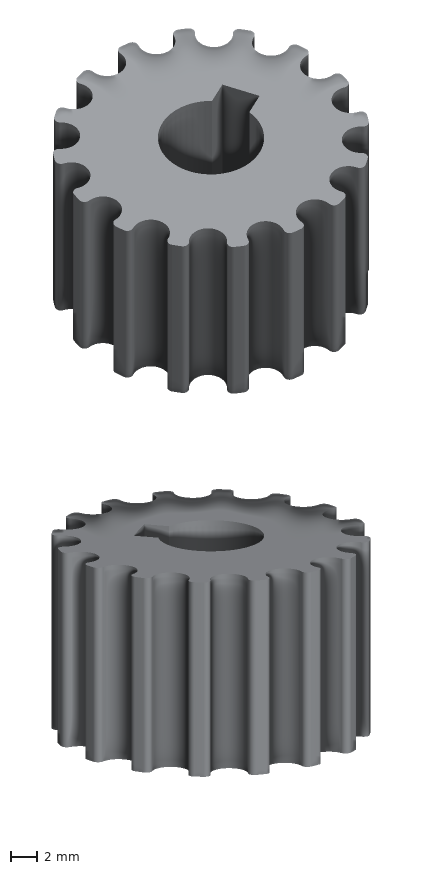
import cadquery as cq
import math

TOOTH_COUNT = 16
BELT_PITCH = 5.0
PITCH_LINE_OFFSET = 0.57
WIDTH = 15.5

GROOVE_DIAMETER = 2.9
GROOVE_ROOT_RADIUS = 9.98
TIP_FILLET = 0.47

BORE_DIAMETER = 8.1
KEYWAY_WIDTH = 3.1
KEYWAY_TOP = 5.7

pitch_radius = TOOTH_COUNT * BELT_PITCH / (2 * math.pi)
outer_radius = pitch_radius - PITCH_LINE_OFFSET
groove_centre = GROOVE_ROOT_RADIUS + GROOVE_DIAMETER / 2
groove_angle = 360 / TOOTH_COUNT


def centred_plane():
    """XY plane at the lower face, so that extruding by WIDTH is centred on Z = 0."""
    return cq.Workplane("XY").workplane(offset=-WIDTH / 2)


def make_blank():
    return centred_plane().circle(outer_radius).extrude(WIDTH)


def make_groove():
    """Cutter for the groove on +X: round root, then straight walls out past the rim."""
    wall_length = GROOVE_DIAMETER
    root = centred_plane().center(groove_centre, 0).circle(GROOVE_DIAMETER / 2).extrude(WIDTH)
    mouth = (
        centred_plane()
        .center(groove_centre + wall_length / 2, 0)
        .rect(wall_length, GROOVE_DIAMETER)
        .extrude(WIDTH)
    )
    return root.union(mouth)


def cut_grooves(body):
    groove = make_groove()
    for index in range(TOOTH_COUNT):
        body = body.cut(groove.rotate((0, 0, 0), (0, 0, 1), index * groove_angle))
    return body


def round_tooth_tips(body):
    """Round the edges where the groove walls meet the rim."""
    dividing_radius = (groove_centre + outer_radius) / 2
    tip_edges = body.edges("|Z").filter(
        lambda edge: math.hypot(edge.Center().x, edge.Center().y) > dividing_radius
    )
    return tip_edges.fillet(TIP_FILLET)


def cut_bore(body):
    """Through bore with a keyway on the +Y side."""
    bore = centred_plane().circle(BORE_DIAMETER / 2).extrude(WIDTH)
    keyway = (
        centred_plane()
        .center(0, KEYWAY_TOP / 2)
        .rect(KEYWAY_WIDTH, KEYWAY_TOP)
        .extrude(WIDTH)
    )
    return body.cut(bore).cut(keyway)


result = cut_bore(round_tooth_tips(cut_grooves(make_blank())))